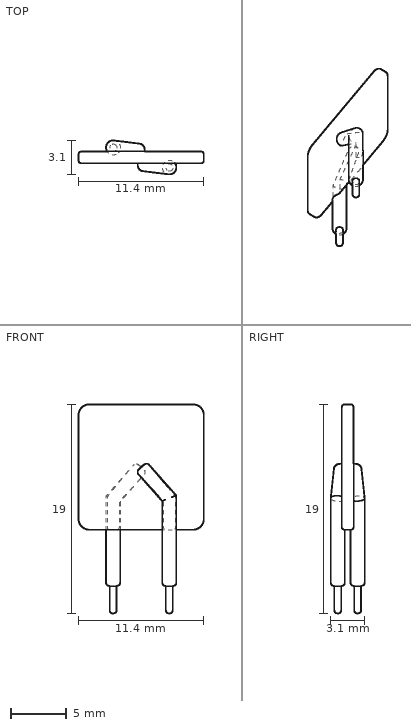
import cadquery as cq

body_side = 11.4
body_thickness = 1.08
body_corner_radius = 1.0
body_edge_fillet = 0.27

lead_pitch = 5.1
lead_row_offset = 0.9
lead_diameter = 1.3
lead_end_fillet = 0.3
lead_end_z = -10.8
bend_z = -2.85
tip_x = 0.03
tip_y = -0.59
tip_z = 0

pin_diameter = 0.65
pin_length = 2.5
pin_tip_fillet = 0.3
pin_embed = 1.0


def make_body():
    """Square plate with rounded corners and rounded face edges."""
    plate = cq.Workplane("XY").box(body_side, body_thickness, body_side)
    plate = plate.edges("|Y").fillet(body_corner_radius)
    return plate.faces("<Y or >Y").edges().fillet(body_edge_fillet)


def make_insulation():
    """Straight lead on the -Y face, mitred and bent over to the middle of the body."""
    lead_x = lead_pitch / 2
    lower_end = (lead_x, -lead_row_offset, lead_end_z)
    bend = (lead_x, -lead_row_offset, bend_z)
    tip = (tip_x, tip_y, tip_z)
    path = cq.Workplane("XY").polyline([lower_end, bend, tip])
    section = cq.Workplane("XY", origin=lower_end).circle(lead_diameter / 2)
    insulation = section.sweep(path, transition="right")
    return insulation.faces("%PLANE").edges("%CIRCLE").fillet(lead_end_fillet)


def make_pin():
    """Round-tipped bare wire that starts inside the insulation."""
    top = (lead_pitch / 2, -lead_row_offset, lead_end_z + pin_embed)
    pin = cq.Workplane("XY", origin=top).circle(pin_diameter / 2).extrude(-(pin_length + pin_embed))
    return pin.faces("<Z").edges().fillet(pin_tip_fillet)


front_lead = make_insulation().union(make_pin())
back_lead = front_lead.rotate((0, 0, 0), (0, 0, 1), 180)

result = make_body().union(front_lead).union(back_lead)